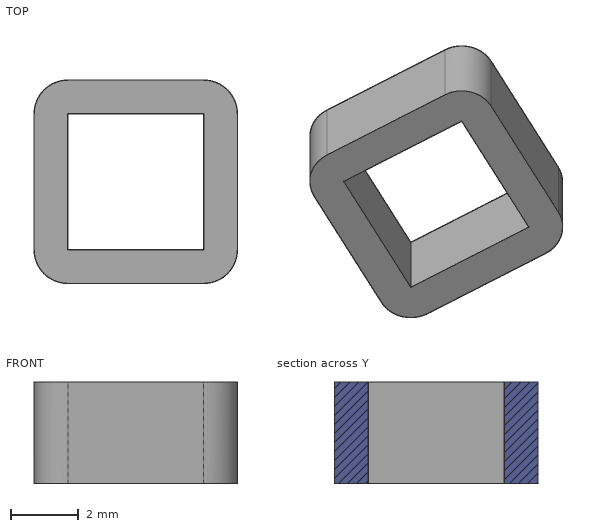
import cadquery as cq

outer_side = 6.0
height = outer_side / 2
wall = outer_side / 6
opening_side = outer_side - 2 * wall
corner_radius = wall

body = (
    cq.Workplane("XY")
    .rect(outer_side, outer_side)
    .extrude(height)
    .edges("|Z")
    .fillet(corner_radius)
)

opening = cq.Workplane("XY").rect(opening_side, opening_side).extrude(height)

result = body.cut(opening)